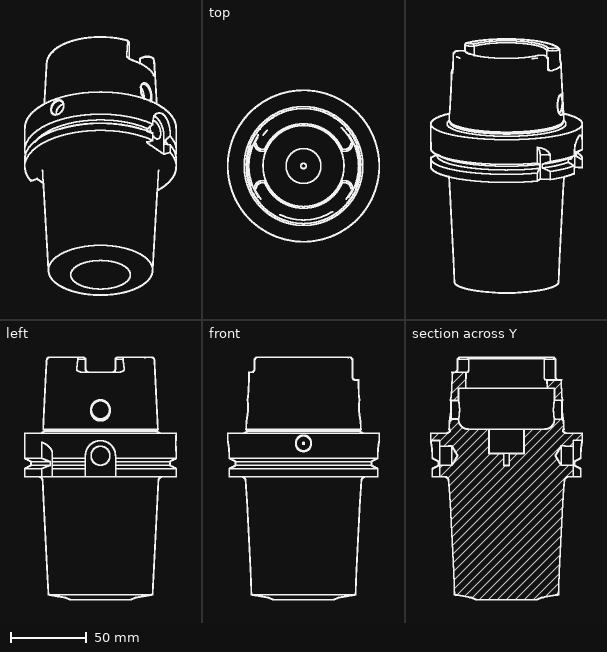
import cadquery as cq
import math


TOTAL_LENGTH = 159.9
SHANK_TOP = 50.0
BOTTOM = SHANK_TOP - TOTAL_LENGTH

SHANK_BASE_RADIUS = 37.9
SHANK_TOP_RADIUS = 35.5
SHANK_RIM_FILLET = 2.0
UNDERCUT_TOP = 2.5
UNDERCUT_BOTTOM = 1.1
UNDERCUT_WIDTH = 0.8
UNDERCUT_RADIUS = 37.3
UNDERCUT_FOOT_RADIUS = 39.2

FLANGE_RADIUS = 49.97
FLANGE_BOTTOM = -28.8
GROOVE_CENTRE = -20.0
GROOVE_FLOOR_RADIUS = 45.9
GROOVE_FLOOR_HALF_WIDTH = 1.3
GROOVE_MOUTH_HALF_WIDTH = 3.4

BODY_TOP_RADIUS = 38.2
BODY_TOP_FILLET = 2.7
BODY_BOTTOM_RADIUS = 34.4
NOSE_HEIGHT = 3.4
NOSE_STEP_RADIUS = 23.2
NOSE_STEP_HEIGHT = 1.5
NOSE_FLAT_RADIUS = 19.7

BORE_RADIUS = 26.7
BORE_CHAMFER = 1.1
LIP_DEPTH = 20.6
CHAMBER_RADIUS = 31.5
BORE_DEPTH = 47.3
BORE_FLOOR_FILLET = 6.2
SOCKET_RADIUS = 11.5
SOCKET_DEPTH = 16.0
PILOT_RADIUS = 1.8
PILOT_DEPTH = 8.0

SLOT_HALF_WIDTH = 9.8
SLOT_CORNER_RADIUS = 5.0
SLOT_CORNER_REACH = 32.3
SLOT_DEPTHS = {-1: 9.9, 1: 15.0}
SLOT_FLOOR_FILLET = 2.0
SLOT_RIM_CHAMFER = 1.3

CROSS_HOLE_Z = 15.4
CROSS_HOLE_RADIUS = 6.0
CROSS_HOLE_SINK_START = 36.3

KEYWAY_HALF_WIDTH = 9.9
KEYWAY_CENTRE_Z = -14.9
KEYWAY_FLOOR = 44.0
KEYWAY_HOLE_RADIUS = 6.2
KEYWAY_HOLE_DEPTH = 8.0
DRILL_POINT_ANGLE = 118

NOTCH_CORNER = 31.7
NOTCH_BEND_Z = -12.3
NOTCH_TOP_Z = -6.0
NOTCH_ARC_POINT = (34.2, -8.6)

POCKET_Z = -6.7
POCKET_RADIUS = 5.0
POCKET_DEPTH = 6.0
POCKET_SINK_DEPTH = 0.5
POCKET_PILOT_RADIUS = 0.6
POCKET_PILOT_DEPTH = 1.6

CLEARANCE = 8.0


def revolve_profile(profile):
    """Turn a profile drawn as (radius, z) about the Z axis."""
    turned = profile.close().revolve(360, (0, 0, 0), (0, 1, 0))
    return turned.rotate((0, 0, 0), (0, 0, 1), -90)


def half_turn(cutter):
    """Carry a cutter from the +X side to the -X side."""
    return cutter.rotate((0, 0, 0), (0, 0, 1), 180)


def outer_body():
    taper_slope = (SHANK_BASE_RADIUS - SHANK_TOP_RADIUS) / (SHANK_TOP - UNDERCUT_TOP)
    taper_angle = math.atan(taper_slope)
    rim_z = SHANK_TOP - SHANK_RIM_FILLET
    rim_x = SHANK_TOP_RADIUS + SHANK_RIM_FILLET * (taper_slope - 1 / math.cos(taper_angle))

    def rim_point(angle):
        return rim_x + SHANK_RIM_FILLET * math.cos(angle), rim_z + SHANK_RIM_FILLET * math.sin(angle)

    fillet_end = FLANGE_BOTTOM - BODY_TOP_FILLET
    fillet_mid = BODY_TOP_FILLET * (1 - math.sqrt(0.5))
    profile = (
        cq.Workplane("XZ")
        .moveTo(0, BOTTOM)
        .lineTo(NOSE_FLAT_RADIUS, BOTTOM)
        .lineTo(NOSE_STEP_RADIUS, BOTTOM + NOSE_STEP_HEIGHT)
        .lineTo(BODY_BOTTOM_RADIUS, BOTTOM + NOSE_HEIGHT)
        .lineTo(BODY_TOP_RADIUS, fillet_end)
        .threePointArc(
            (BODY_TOP_RADIUS + fillet_mid, FLANGE_BOTTOM - fillet_mid),
            (BODY_TOP_RADIUS + BODY_TOP_FILLET, FLANGE_BOTTOM),
        )
        .lineTo(FLANGE_RADIUS, FLANGE_BOTTOM)
        .lineTo(FLANGE_RADIUS, GROOVE_CENTRE - GROOVE_MOUTH_HALF_WIDTH)
        .lineTo(GROOVE_FLOOR_RADIUS, GROOVE_CENTRE - GROOVE_FLOOR_HALF_WIDTH)
        .lineTo(GROOVE_FLOOR_RADIUS, GROOVE_CENTRE + GROOVE_FLOOR_HALF_WIDTH)
        .lineTo(FLANGE_RADIUS, GROOVE_CENTRE + GROOVE_MOUTH_HALF_WIDTH)
        .lineTo(FLANGE_RADIUS, 0)
        .lineTo(UNDERCUT_FOOT_RADIUS, 0)
        .lineTo(UNDERCUT_RADIUS, UNDERCUT_BOTTOM)
        .lineTo(UNDERCUT_RADIUS, UNDERCUT_BOTTOM + UNDERCUT_WIDTH)
        .lineTo(SHANK_BASE_RADIUS, UNDERCUT_TOP)
        .lineTo(*rim_point(taper_angle))
        .threePointArc(rim_point((taper_angle + math.pi / 2) / 2), (rim_x, SHANK_TOP))
        .lineTo(0, SHANK_TOP)
    )
    return revolve_profile(profile)


def bore():
    """Chamfered mouth, wider clamping chamber with a rounded floor, socket and pilot hole."""
    floor = SHANK_TOP - BORE_DEPTH
    lip = SHANK_TOP - LIP_DEPTH
    socket_floor = floor - SOCKET_DEPTH
    fillet_mid = BORE_FLOOR_FILLET * (1 - math.sqrt(0.5))
    profile = (
        cq.Workplane("XZ")
        .moveTo(0, socket_floor - PILOT_DEPTH)
        .lineTo(PILOT_RADIUS, socket_floor - PILOT_DEPTH)
        .lineTo(PILOT_RADIUS, socket_floor)
        .lineTo(SOCKET_RADIUS, socket_floor)
        .lineTo(SOCKET_RADIUS, floor)
        .lineTo(CHAMBER_RADIUS - BORE_FLOOR_FILLET, floor)
        .threePointArc(
            (CHAMBER_RADIUS - fillet_mid, floor + fillet_mid),
            (CHAMBER_RADIUS, floor + BORE_FLOOR_FILLET),
        )
        .lineTo(CHAMBER_RADIUS, lip)
        .lineTo(BORE_RADIUS, lip)
        .lineTo(BORE_RADIUS, SHANK_TOP - BORE_CHAMFER)
        .lineTo(BORE_RADIUS + BORE_CHAMFER, SHANK_TOP)
        .lineTo(0, SHANK_TOP)
    )
    return revolve_profile(profile)


def slot_outline(z):
    """Plan of the +X drive slot at height z: parallel walls that flare round towards the rim."""
    flare_end = SLOT_HALF_WIDTH + SLOT_CORNER_RADIUS
    flare_start = SLOT_CORNER_REACH - SLOT_CORNER_RADIUS
    arc_mid = SLOT_CORNER_RADIUS * math.sqrt(0.5)
    outer_x = SHANK_BASE_RADIUS + CLEARANCE
    outer_y = flare_end + CLEARANCE
    return (
        cq.Workplane("XY", origin=(0, 0, z))
        .moveTo(0, -SLOT_HALF_WIDTH)
        .lineTo(flare_start, -SLOT_HALF_WIDTH)
        .threePointArc(
            (flare_start + arc_mid, -flare_end + arc_mid),
            (SLOT_CORNER_REACH, -flare_end),
        )
        .lineTo(SLOT_CORNER_REACH, -outer_y)
        .lineTo(outer_x, -outer_y)
        .lineTo(outer_x, outer_y)
        .lineTo(SLOT_CORNER_REACH, outer_y)
        .lineTo(SLOT_CORNER_REACH, flare_end)
        .threePointArc(
            (flare_start + arc_mid, flare_end - arc_mid),
            (flare_start, SLOT_HALF_WIDTH),
        )
        .lineTo(0, SLOT_HALF_WIDTH)
        .close()
    )


def drive_slot(side):
    """Cutter for the drive slot on one X side, with a filleted floor and a chamfered mouth."""
    depth = SLOT_DEPTHS[side]
    slot = slot_outline(SHANK_TOP - depth).extrude(depth)
    slot = slot.faces("<Z").edges().fillet(SLOT_FLOOR_FILLET)
    mouth = slot_outline(SHANK_TOP).offset2D(SLOT_RIM_CHAMFER).extrude(-SLOT_RIM_CHAMFER, taper=45)
    cutter = slot.union(mouth)
    return cutter if side > 0 else half_turn(cutter)


def cone(tip_radius, base_radius, height):
    """Frustum along +X from x = 0; a zero tip radius gives a full cone."""
    solid = cq.Solid.makeCone(tip_radius, base_radius, height, cq.Vector(0, 0, 0), cq.Vector(1, 0, 0))
    return cq.Workplane(solid)


def cross_hole(side):
    """Radial hole through the shank wall with a 45 degree countersink."""
    sink_height = SHANK_BASE_RADIUS - CROSS_HOLE_SINK_START
    hole = cq.Workplane("YZ").circle(CROSS_HOLE_RADIUS).extrude(CROSS_HOLE_SINK_START)
    sink = cone(CROSS_HOLE_RADIUS, CROSS_HOLE_RADIUS + sink_height, sink_height)
    cutter = hole.union(sink.translate((CROSS_HOLE_SINK_START, 0, 0)))
    cutter = cutter.translate((0, 0, CROSS_HOLE_Z))
    return cutter if side > 0 else half_turn(cutter)


def keyway(side):
    """Round-topped slot in the flange, open downwards, with a drilled hole in its floor."""
    width = 2 * KEYWAY_HALF_WIDTH
    reach = FLANGE_RADIUS + CLEARANCE - KEYWAY_FLOOR
    drop = KEYWAY_CENTRE_Z - FLANGE_BOTTOM
    floor = cq.Workplane("YZ", origin=(KEYWAY_FLOOR, 0, KEYWAY_CENTRE_Z))
    slot = floor.circle(KEYWAY_HALF_WIDTH).extrude(reach)
    slot = slot.union(floor.center(0, -drop / 2).rect(width, drop).extrude(reach))
    hole = floor.circle(KEYWAY_HOLE_RADIUS).extrude(-KEYWAY_HOLE_DEPTH)
    point_height = KEYWAY_HOLE_RADIUS / math.tan(math.radians(DRILL_POINT_ANGLE / 2))
    point = cone(0, KEYWAY_HOLE_RADIUS, point_height)
    point = point.translate((KEYWAY_FLOOR - KEYWAY_HOLE_DEPTH - point_height, 0, KEYWAY_CENTRE_Z))
    cutter = slot.union(hole).union(point)
    return cutter if side > 0 else half_turn(cutter)


def index_notch():
    """Square-cornered notch in the flange edge, open downwards, with a curved upper end."""
    rim_y = math.sqrt(FLANGE_RADIUS**2 - NOTCH_CORNER**2)
    return (
        cq.Workplane("YZ", origin=(-NOTCH_CORNER, 0, 0))
        .moveTo(NOTCH_CORNER, FLANGE_BOTTOM)
        .lineTo(NOTCH_CORNER, NOTCH_BEND_Z)
        .threePointArc(NOTCH_ARC_POINT, (rim_y, NOTCH_TOP_Z))
        .lineTo(FLANGE_RADIUS, NOTCH_TOP_Z)
        .lineTo(FLANGE_RADIUS, FLANGE_BOTTOM)
        .close()
        .extrude(-FLANGE_RADIUS)
    )


def side_pocket():
    """Blind round pocket with a chamfered rim and a small centre hole in its floor."""
    floor_y = POCKET_DEPTH - FLANGE_RADIUS
    floor = cq.Workplane("XZ", origin=(0, floor_y, POCKET_Z))
    pocket = floor.circle(POCKET_RADIUS).extrude(POCKET_DEPTH)
    sink_start = POCKET_DEPTH - POCKET_SINK_DEPTH
    sink_height = 2 * POCKET_SINK_DEPTH
    sink = cone(POCKET_RADIUS, POCKET_RADIUS + sink_height, sink_height)
    sink = sink.rotate((0, 0, 0), (0, 0, 1), -90).translate((0, floor_y - sink_start, POCKET_Z))
    pilot = floor.circle(POCKET_PILOT_RADIUS).extrude(-POCKET_PILOT_DEPTH)
    return pocket.union(sink).union(pilot)


result = outer_body().cut(bore())
for x_side in (-1, 1):
    result = result.cut(drive_slot(x_side))
    result = result.cut(cross_hole(x_side))
    result = result.cut(keyway(x_side))
result = result.cut(index_notch()).cut(side_pocket())